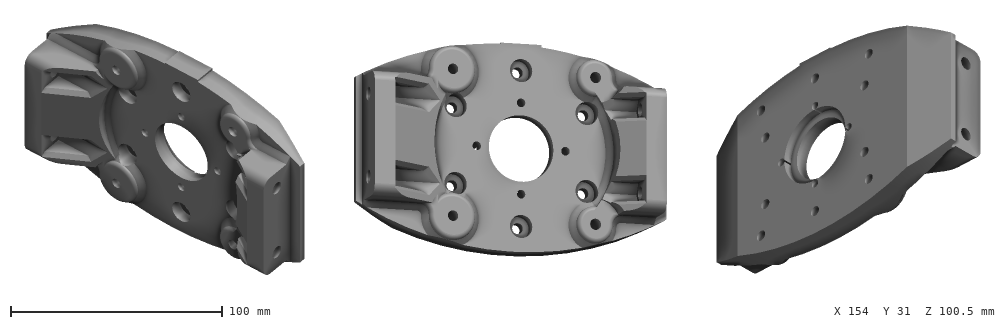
import cadquery as cq
import math

PLATE_LENGTH = 154.0
PLATE_LEFT = -82.0
PLATE_RIGHT = PLATE_LEFT + PLATE_LENGTH
PLATE_MIDDLE = (PLATE_LEFT + PLATE_RIGHT) / 2
PLATE_THICKNESS = 11.0
PLATE_HALF_HEIGHT = 50.0
PLATE_END_HALF_HEIGHT = 30.0
RIM_FLAT_WIDTH = 20.0
RIM_FLAT_Z = 50.5
END_THICKNESS = 3.2
BACK_BEVEL_LENGTH = 21.4

BORE_DIAMETER = 32.0
BORE_LENGTH = 6.6
BACK_RECESS_DIAMETER = 40.0
PIN_COUNT = 4
PIN_CIRCLE_RADIUS = 22.0
PIN_DIAMETER = 4.2
SCREW_COUNT = 6
SCREW_FIRST_ANGLE = 30
SCREW_CIRCLE_RADIUS = 37.5
SCREW_DIAMETER = 5.2
SCREW_HEAD_DIAMETER = 11.1
SCREW_HEAD_DEPTH = 5.7

BOSS_HEIGHT = 5.1
BOSS_ROUND = 2.2
FLARE = BOSS_HEIGHT - BOSS_ROUND
BOSS_CIRCLE_RADIUS = 50.0
BOSS_OFFSET = BOSS_CIRCLE_RADIUS / math.sqrt(2)
LEFT_BOSS_RADIUS = 11.4
LEFT_BOSS_HOLE = 5.1
LEFT_WEB_RADIUS = 5.0
RIGHT_BOSS_RADIUS = 9.0
RIGHT_BOSS_HOLE = 5.4
RIGHT_WEB_RADIUS = 5.2
BOLT_CLEARANCE_RADIUS = 12.3

BRACKET_HEIGHT = 20.0
BRACKET_HALF_WIDTH = 30.0
BRACKET_ROUND = 5.1
BRACKET_WALL = 10.2
LEFT_BRACKET_FACE = 79.0
LEFT_RING_FLARE = 2.2
RIGHT_BRACKET_FACE = 66.0
RIGHT_RING_FLARE = 3.1
SLOPE_ANGLE = 30.0
RING_RADIUS = 45.0

BOLT_Z = 20.0
BOLT_Y = -10.0
BOLT_DIAMETER = 6.5
NUT_WIDTH = 10.0
NUT_FLANK_ANGLE = 30.0
NUT_LEAD_IN = 1.8
NUT_LEAD_IN_DEPTH = 2.2

SLOPE = math.tan(math.radians(SLOPE_ANGLE))


def plate_outline():
    """Closed plate outline in the XZ plane: two arcs joining the straight ends."""
    return (
        cq.Workplane("XZ")
        .moveTo(PLATE_LEFT, -PLATE_END_HALF_HEIGHT)
        .threePointArc((PLATE_MIDDLE, -PLATE_HALF_HEIGHT), (PLATE_RIGHT, -PLATE_END_HALF_HEIGHT))
        .lineTo(PLATE_RIGHT, PLATE_END_HALF_HEIGHT)
        .threePointArc((PLATE_MIDDLE, PLATE_HALF_HEIGHT), (PLATE_LEFT, PLATE_END_HALF_HEIGHT))
        .close()
    )


def make_plate():
    """Plate with the flat on its upper rim and bevelled back ends."""
    plate = plate_outline().extrude(-PLATE_THICKNESS)
    rim_flat = (
        cq.Workplane("XZ")
        .center(0, RIM_FLAT_Z / 2)
        .rect(RIM_FLAT_WIDTH, RIM_FLAT_Z)
        .extrude(-PLATE_THICKNESS)
    )
    bevelled_body = (
        cq.Workplane("XY")
        .moveTo(PLATE_LEFT, 0)
        .lineTo(PLATE_RIGHT, 0)
        .lineTo(PLATE_RIGHT, END_THICKNESS)
        .lineTo(PLATE_RIGHT - BACK_BEVEL_LENGTH, PLATE_THICKNESS)
        .lineTo(PLATE_LEFT + BACK_BEVEL_LENGTH, PLATE_THICKNESS)
        .lineTo(PLATE_LEFT, END_THICKNESS)
        .close()
        .extrude(RIM_FLAT_Z, both=True)
    )
    return plate.union(rim_flat).intersect(bevelled_body)


def turned_edge(radius, outward):
    """Round body with the boss edge profile; outward is 1 for a boss, -1 for its hollow counterpart."""
    diagonal = math.sqrt(0.5)
    round_middle = (
        radius - outward * BOSS_ROUND * (1 - diagonal),
        -FLARE - BOSS_ROUND * diagonal,
    )
    return (
        cq.Workplane("XY")
        .lineTo(radius + outward * FLARE, 0)
        .lineTo(radius, -FLARE)
        .threePointArc(round_middle, (radius - outward * BOSS_ROUND, -BOSS_HEIGHT))
        .lineTo(0, -BOSS_HEIGHT)
        .close()
        .revolve(360, (0, 0), (0, 1))
    )


def make_boss(side, radius, web_radius):
    """Upper boss on one side, with the hollow web that blends it into the bracket."""
    boss_x = side * BOSS_OFFSET
    web_z = BRACKET_HALF_WIDTH + web_radius
    web_length = math.sqrt((radius + web_radius) ** 2 - (BOSS_OFFSET - web_z) ** 2)
    web_end_x = boss_x + side * web_length
    boss = turned_edge(radius, 1).translate((boss_x, 0, BOSS_OFFSET))
    hollow = turned_edge(web_radius, -1).translate((web_end_x, 0, web_z))
    web = (
        cq.Workplane("XZ")
        .center((boss_x + web_end_x) / 2, web_z - web_radius / 2)
        .rect(web_length, web_radius)
        .extrude(BOSS_HEIGHT)
        .cut(hollow)
    )
    return boss.union(web)


def bracket_block(face):
    """Flared and rounded block at +X, cut to a wall with a sloping back."""
    wall_x = face - BRACKET_WALL
    front_half_width = BRACKET_HALF_WIDTH - BRACKET_ROUND
    cross_section = (
        cq.Workplane("YZ")
        .moveTo(0, -BRACKET_HALF_WIDTH - FLARE)
        .lineTo(-FLARE, -BRACKET_HALF_WIDTH)
        .lineTo(BRACKET_ROUND - BRACKET_HEIGHT, -BRACKET_HALF_WIDTH)
        .radiusArc((-BRACKET_HEIGHT, -front_half_width), BRACKET_ROUND)
        .lineTo(-BRACKET_HEIGHT, front_half_width)
        .radiusArc((BRACKET_ROUND - BRACKET_HEIGHT, BRACKET_HALF_WIDTH), BRACKET_ROUND)
        .lineTo(-FLARE, BRACKET_HALF_WIDTH)
        .lineTo(0, BRACKET_HALF_WIDTH + FLARE)
        .close()
        .extrude(face)
    )
    sloping_side = (
        cq.Workplane("XY")
        .moveTo(wall_x - BRACKET_HEIGHT / SLOPE, 0)
        .lineTo(face, 0)
        .lineTo(face, -BRACKET_HEIGHT)
        .lineTo(wall_x, -BRACKET_HEIGHT)
        .close()
        .extrude(PLATE_HALF_HEIGHT, both=True)
    )
    return cross_section.intersect(sloping_side)


def ring_clearance(flare):
    """Round space between the brackets, narrowing by a 45 degree flare at the plate."""
    return (
        cq.Workplane("XY")
        .lineTo(RING_RADIUS - flare, 0)
        .lineTo(RING_RADIUS, -flare)
        .lineTo(RING_RADIUS, -BRACKET_HEIGHT)
        .lineTo(0, -BRACKET_HEIGHT)
        .close()
        .revolve(360, (0, 0), (0, 1))
    )


def nut_channel(half_width, wall_x):
    """Open channel along X whose V floor is the lower point of the hexagonal nut."""
    floor_y = BOLT_Y + NUT_WIDTH / math.sqrt(3)
    shoulder_y = floor_y - half_width * math.tan(math.radians(NUT_FLANK_ANGLE))
    return (
        cq.Workplane("YZ")
        .moveTo(floor_y, 0)
        .lineTo(shoulder_y, half_width)
        .lineTo(-BRACKET_HEIGHT, half_width)
        .lineTo(-BRACKET_HEIGHT, -half_width)
        .lineTo(shoulder_y, -half_width)
        .close()
        .extrude(wall_x)
    )


def nut_pocket(wall_x):
    """Nut channel, its mouth widened by a lead-in that follows the sloping back."""
    half_nut = NUT_WIDTH / 2
    half_mouth = half_nut + NUT_LEAD_IN
    slope_rad = math.radians(SLOPE_ANGLE)
    slope_length = BRACKET_HEIGHT / math.sin(slope_rad)
    slope_plane = cq.Plane(
        origin=(wall_x, -BRACKET_HEIGHT, 0),
        xDir=(0, 0, 1),
        normal=(-math.cos(slope_rad), math.sin(slope_rad), 0),
    )
    lead_in = (
        cq.Workplane(slope_plane)
        .moveTo(-half_mouth, 0)
        .lineTo(-half_nut, NUT_LEAD_IN_DEPTH)
        .lineTo(half_nut, NUT_LEAD_IN_DEPTH)
        .lineTo(half_mouth, 0)
        .close()
        .extrude(slope_length, both=True)
    )
    widened_mouth = nut_channel(half_mouth, wall_x).intersect(lead_in)
    return nut_channel(half_nut, wall_x).union(widened_mouth)


def make_bracket(face, ring_flare):
    """Complete bracket at +X with its outer face at the given distance from the bore axis."""
    bracket = bracket_block(face).cut(ring_clearance(ring_flare))
    pocket = nut_pocket(face - BRACKET_WALL)
    bolt_hole = cq.Workplane("YZ").center(BOLT_Y, 0).circle(BOLT_DIAMETER / 2).extrude(face)
    for z in (-BOLT_Z, BOLT_Z):
        bracket = bracket.cut(pocket.translate((0, 0, z)))
        bracket = bracket.cut(bolt_hole.translate((0, 0, z)))
    bolt_clearance = (
        cq.Workplane("XZ", origin=(0, -BOSS_HEIGHT, 0))
        .pushPoints([(BOSS_OFFSET, -BOSS_OFFSET), (BOSS_OFFSET, BOSS_OFFSET)])
        .circle(BOLT_CLEARANCE_RADIUS)
        .extrude(BRACKET_HEIGHT)
    )
    return bracket.cut(bolt_clearance)


def through_holes(points, diameter):
    """Cutters along Y that pass through the plate and the bosses."""
    return (
        cq.Workplane("XZ", origin=(0, PLATE_THICKNESS, 0))
        .pushPoints(points)
        .circle(diameter / 2)
        .extrude(PLATE_THICKNESS + BOSS_HEIGHT)
    )


def circle_points(radius, count, first_angle):
    """Evenly spaced points on a circle around the bore."""
    angles = [math.radians(first_angle + 360 * i / count) for i in range(count)]
    return [(radius * math.cos(a), radius * math.sin(a)) for a in angles]


def boss_points(side):
    """Centres of the two bosses on one side."""
    return [(side * BOSS_OFFSET, -BOSS_OFFSET), (side * BOSS_OFFSET, BOSS_OFFSET)]


right_bracket = make_bracket(RIGHT_BRACKET_FACE, RIGHT_RING_FLARE)
left_bracket = make_bracket(LEFT_BRACKET_FACE, LEFT_RING_FLARE).mirror("YZ")
raised = right_bracket.union(left_bracket)
bosses = (
    make_boss(-1, LEFT_BOSS_RADIUS, LEFT_WEB_RADIUS),
    make_boss(1, RIGHT_BOSS_RADIUS, RIGHT_WEB_RADIUS),
)
for boss in bosses:
    raised = raised.union(boss).union(boss.mirror("XY"))
raised = raised.intersect(plate_outline().extrude(BRACKET_HEIGHT))

result = make_plate().union(raised)

screw_points = circle_points(SCREW_CIRCLE_RADIUS, SCREW_COUNT, SCREW_FIRST_ANGLE)
screw_heads = (
    cq.Workplane("XZ", origin=(0, SCREW_HEAD_DEPTH, 0))
    .pushPoints(screw_points)
    .circle(SCREW_HEAD_DIAMETER / 2)
    .extrude(SCREW_HEAD_DEPTH + BOSS_HEIGHT)
)
back_recess = (
    cq.Workplane("XZ", origin=(0, PLATE_THICKNESS, 0))
    .circle(BACK_RECESS_DIAMETER / 2)
    .extrude(PLATE_THICKNESS - BORE_LENGTH)
)
pin_points = circle_points(PIN_CIRCLE_RADIUS, PIN_COUNT, 0)
result = (
    result.cut(back_recess)
    .cut(through_holes([(0, 0)], BORE_DIAMETER))
    .cut(through_holes(pin_points, PIN_DIAMETER))
    .cut(through_holes(screw_points, SCREW_DIAMETER))
    .cut(screw_heads)
    .cut(through_holes(boss_points(-1), LEFT_BOSS_HOLE))
    .cut(through_holes(boss_points(1), RIGHT_BOSS_HOLE))
)